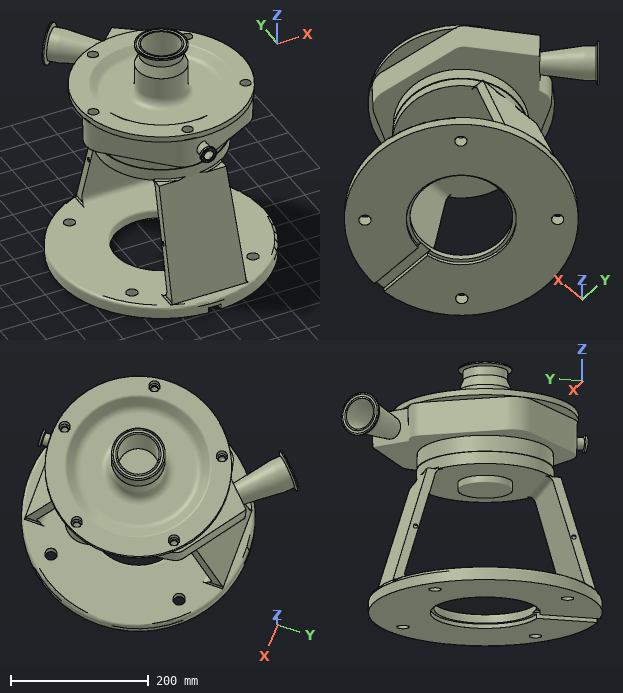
import cadquery as cq
import math

base_thickness = 20.7
boss_bottom = 185.0
ring_bottom = 196.5
ring_step = 215.0
casing_bottom = 239.5
casing_top = 290.0
flange_top = 299.0
inlet_cone_bottom = 334.2
inlet_cone_top = 350.5
inlet_top = 369.0

base_diameter = 340.0
base_radius = base_diameter / 2
base_bore_radius = 74.5
base_recess_radius = 79.5
base_recess_depth = 6.5
base_round = 5.0
base_hole_radius = 8.8
base_hole_circle = 140.0
base_hole_count = 4
base_hole_first_angle = 45.0
notch_width = 19.5
notch_height = 8.8

leg_top_half_width = 55.0
leg_bottom_half_width = 60.5
leg_thickness = 14.5
leg_top_y = 100.0
leg_bottom_y = 153.0
leg_fillet = 11.5
leg_weld = 2.5
leg_hole_radius = 3.0
leg_hole_depth = 16.0
leg_hole_y = 118.5
leg_hole_z = 106.5

ring_lower_radius = 100.0
ring_upper_radius = 98.8
boss_radius = 40.0
boss_round = 1.5

side_angle = 72.0
first_side_angle = 153.0
side_distance = 115.0
casing_round = 34.3
outlet_shoulder_angle = 54.0
outlet_shoulder_distance = 139.5
cutwater_distance = 117.0
outlet_corner_round = 21.0
outlet_angle = 135.0
casing_draft = 1.3
casing_bottom_round = 1.0

flange_radius = 135.5
dish_depth = 15.0
dish_floor_radius = 83.3
dish_rim_radius = 107.0
dish_rim_bend = 5.0
dish_wall_angle = 45.0
bolt_circle = 122.3
bolt_count = 5
bolt_first_angle = 45.0
bolt_radius = 8.0
bolt_depth = 16.0
bolt_core_radius = 5.5
bolt_core_depth = 24.0
drill_tip_angle = 118.0

inlet_rim_radius = 39.0
inlet_neck_radius = 32.5
inlet_bore_radius = 30.3
outlet_rim_radius = 32.0
outlet_neck_radius = 25.5
outlet_root_radius = 16.7
outlet_wall = 2.5
outlet_neck_length = 20.7
outlet_end = 200.5
outlet_offset = 91.0
port_rim_radius = 12.7
port_radius = 9.5
port_bore_radius = 7.5
port_z = 265.7
port_end = 150.5
port_root = 129.0
rim_thickness = 2.5
port_rim_thickness = 3.5
rim_bevel_angle = 20.0
pipe_overlap = 12.0
groove_share = 0.25


def polar(radius, angle):
    """Point at a radius and an angle in degrees."""
    return radius * math.cos(math.radians(angle)), radius * math.sin(math.radians(angle))


def meeting_point(angle_a, distance_a, angle_b, distance_b):
    """Corner of two straight sides, each given by its normal angle and its distance from the axis."""
    ax, ay = polar(1, angle_a)
    bx, by = polar(1, angle_b)
    cross = ax * by - ay * bx
    return (distance_a * by - distance_b * ay) / cross, (distance_b * ax - distance_a * bx) / cross


def revolved(points):
    """Solid of revolution about Z from (radius, height) points."""
    return cq.Workplane("XZ").polyline(points).close().revolve(360, (0, 0, 0), (0, 1, 0))


def cylinder(radius, bottom, top):
    """Upright cylinder on the pump axis between two heights."""
    return cq.Workplane("XY").workplane(offset=bottom).circle(radius).extrude(top - bottom)


def make_base():
    """Round base plate with a bore, mounting holes and a notch under its -Y edge."""
    plate = cylinder(base_radius, 0, base_thickness)
    plate = plate.cut(cylinder(base_bore_radius, 0, base_thickness))
    plate = plate.faces(">Z").edges().fillet(base_round)
    plate = plate.cut(cylinder(base_recess_radius, 0, base_recess_depth))
    holes = (
        cq.Workplane("XY")
        .polarArray(base_hole_circle, base_hole_first_angle, 360, base_hole_count)
        .circle(base_hole_radius)
        .extrude(base_thickness)
    )
    notch = cq.Workplane("XY").box(notch_width, base_radius, notch_height, centered=(True, False, False))
    return plate.cut(holes).cut(notch.translate((0, -base_radius, 0)))


def make_rear_leg():
    """Sloping leg on the +Y side, with rounded inner corners and weld beads."""
    foot_half_width = leg_bottom_half_width + leg_weld
    slope = (leg_bottom_y - leg_top_y) / (ring_bottom - base_thickness)
    lean = math.degrees(math.atan(slope))
    foot_run = leg_fillet / math.tan(math.radians((90 - lean) / 2))
    head_run = leg_fillet / math.tan(math.radians((90 + lean) / 2))
    foot_inner = leg_bottom_y - leg_thickness
    head_inner = leg_top_y - leg_thickness
    run_y, run_z = math.sin(math.radians(lean)), math.cos(math.radians(lean))

    section = (
        cq.Workplane("YZ")
        .moveTo(leg_bottom_y, base_thickness)
        .lineTo(leg_top_y, ring_bottom)
        .lineTo(head_inner - head_run, ring_bottom)
        .radiusArc((head_inner + head_run * run_y, ring_bottom - head_run * run_z), leg_fillet)
        .lineTo(foot_inner - foot_run * run_y, base_thickness + foot_run * run_z)
        .radiusArc((foot_inner - foot_run, base_thickness), leg_fillet)
        .close()
        .extrude(foot_half_width, both=True)
    )
    half_outline = [
        (foot_half_width, base_thickness),
        (leg_bottom_half_width, base_thickness + leg_weld),
        (leg_top_half_width, ring_bottom),
    ]
    outline = half_outline + [(-x, z) for x, z in reversed(half_outline)]
    leg = section.intersect(cq.Workplane("XZ").polyline(outline).close().extrude(-base_radius))
    return leg.union(make_head_weld(slope))


def make_head_weld(slope):
    """Bead on the leg top, around the part of the ring wall that the leg reaches past."""
    top = ring_bottom + leg_weld
    bead = revolved(
        [
            (ring_lower_radius - leg_weld, ring_bottom),
            (ring_lower_radius + leg_weld, ring_bottom),
            (ring_lower_radius, top),
            (ring_lower_radius - leg_weld, top),
        ]
    )
    leg_end = [
        (0, ring_bottom),
        (leg_top_y, ring_bottom),
        (leg_top_y - slope * leg_weld, top),
        (0, top),
    ]
    return bead.intersect(cq.Workplane("YZ").polyline(leg_end).close().extrude(leg_top_half_width, both=True))


def blind_hole(radius, depth):
    """Drilled hole with a conical tip, opening at the origin and running down -Z."""
    tip = radius / math.tan(math.radians(drill_tip_angle / 2))
    return revolved([(0, 0), (radius, 0), (radius, -depth), (0, -depth - tip)])


def make_support():
    """Base plate, two legs, ring and shaft boss."""
    leg = make_rear_leg()
    tapped = blind_hole(leg_hole_radius, leg_hole_depth).rotate((0, 0, 0), (0, 1, 0), -90)
    face_share = (leg_hole_z - base_thickness) / (ring_bottom - base_thickness)
    face_x = leg_bottom_half_width + (leg_top_half_width - leg_bottom_half_width) * face_share
    leg = leg.cut(tapped.translate((-face_x, leg_hole_y, leg_hole_z)))
    ring = cylinder(ring_lower_radius, ring_bottom, ring_step)
    ring = ring.union(cylinder(ring_upper_radius, ring_step, casing_bottom))
    boss = cylinder(boss_radius, boss_bottom, ring_bottom).faces("<Z").edges().fillet(boss_round)
    return make_base().union(leg).union(leg.mirror("XZ")).union(ring).union(boss)


def make_casing():
    """Drafted five-sided casing with a shoulder that carries the outlet."""
    left, front_left, front_right, right = [first_side_angle + side_angle * i for i in range(4)]
    cutwater = first_side_angle - side_angle
    shoulder = (outlet_shoulder_angle, outlet_shoulder_distance)
    main_corners = [
        meeting_point(left, side_distance, front_left, side_distance),
        meeting_point(front_left, side_distance, front_right, side_distance),
        meeting_point(front_right, side_distance, right, side_distance),
    ]
    shoulder_corner = meeting_point(right, side_distance, *shoulder)
    outlet_corner = meeting_point(*shoulder, outlet_angle, side_distance)
    inner_corner = meeting_point(outlet_angle, side_distance, cutwater, cutwater_distance)
    cutwater_corner = meeting_point(cutwater, cutwater_distance, left, side_distance)
    outline = main_corners + [shoulder_corner, outlet_corner, inner_corner, cutwater_corner]
    casing = (
        cq.Workplane("XY")
        .workplane(offset=casing_top)
        .polyline(outline)
        .close()
        .extrude(casing_bottom - casing_top, taper=casing_draft)
    )
    mid_height = (casing_bottom + casing_top) / 2
    rounded = [(corner, casing_round) for corner in main_corners]
    rounded += [(corner, outlet_corner_round) for corner in (shoulder_corner, cutwater_corner)]
    for (x, y), radius in rounded:
        nearest = cq.selectors.NearestToPointSelector((x, y, mid_height))
        casing = casing.edges(nearest).fillet(radius)
    return casing.faces("<Z").edges().fillet(casing_bottom_round)


def make_dish():
    """Cutter for the dish around the inlet foot; its straight wall leans between two bends."""
    wall_turn = math.radians(dish_wall_angle)
    diagonal = math.sqrt(0.5)
    floor = flange_top - dish_depth
    foot_radius = inlet_rim_radius + dish_depth

    def floor_bend(turn):
        radius = dish_floor_radius + dish_depth * math.sin(turn)
        return radius, floor + dish_depth * (1 - math.cos(turn))

    def rim_bend(turn):
        radius = dish_rim_radius - dish_rim_bend * math.sin(turn)
        return radius, flange_top - dish_rim_bend * (1 - math.cos(turn))

    return (
        cq.Workplane("XZ")
        .moveTo(inlet_rim_radius, flange_top)
        .threePointArc(
            (foot_radius - dish_depth * diagonal, flange_top - dish_depth * diagonal),
            (foot_radius, floor),
        )
        .lineTo(dish_floor_radius, floor)
        .threePointArc(floor_bend(wall_turn / 2), floor_bend(wall_turn))
        .lineTo(*rim_bend(wall_turn))
        .threePointArc(rim_bend(wall_turn / 2), (dish_rim_radius, flange_top))
        .close()
        .revolve(360, (0, 0, 0), (0, 1, 0))
    )


def make_bolt_holes():
    """Tapped blind holes around the flange, opening at its top face."""
    hole = cylinder(bolt_radius, -bolt_depth, 0).union(blind_hole(bolt_core_radius, bolt_core_depth))
    places = [polar(bolt_circle, bolt_first_angle + i * 360 / bolt_count) for i in range(bolt_count)]
    holes = cq.Workplane("XY")
    for x, y in places:
        holes = holes.add(hole.translate((x, y, flange_top)))
    return holes.combine()


def with_ferrule(body, rim_radius, neck_radius, rim, end):
    """Outer (radius, height) points of a pipe closed by a bevelled clamp rim at its end."""
    bevel = (rim_radius - neck_radius) * math.tan(math.radians(rim_bevel_angle))
    return body + [
        (neck_radius, end - rim - bevel),
        (rim_radius, end - rim),
        (rim_radius, end),
        (0, end),
    ]


def gasket_groove(rim_radius, bore_radius, end):
    """Shallow round-bottomed ring groove in the middle of a clamp rim's face."""
    groove_radius = (rim_radius - bore_radius) * groove_share
    middle = (rim_radius + bore_radius) / 2
    ring = cq.Workplane("XZ").center(middle, end + groove_radius / 2).circle(groove_radius)
    return ring.revolve(360, (-middle, 0, 0), (-middle, 1, 0))


def make_inlet():
    """Upright stepped inlet pipe and its bore."""
    outer = [
        (0, flange_top - dish_depth),
        (inlet_rim_radius, flange_top - dish_depth),
        (inlet_rim_radius, inlet_cone_bottom),
        (inlet_neck_radius, inlet_cone_top),
    ]
    outer = with_ferrule(outer, inlet_rim_radius, inlet_neck_radius, rim_thickness, inlet_top)
    bore = cylinder(inlet_bore_radius, flange_top - dish_depth, inlet_top)
    bore = bore.union(gasket_groove(inlet_rim_radius, inlet_bore_radius, inlet_top))
    return revolved(outer), bore


def lay_outlet(shape):
    """Turn a solid built along +Z so that it points along the outlet axis."""
    x, y = polar(outlet_offset, outlet_angle - 90)
    turned = shape.rotate((0, 0, 0), (0, 1, 0), 90).rotate((0, 0, 0), (0, 0, 1), outlet_angle)
    return turned.translate((x, y, (casing_bottom + casing_top) / 2))


def make_outlet():
    """Slanted conical outlet pipe and its bore, which stops at the casing shoulder."""
    neck_start = outlet_end - outlet_neck_length
    outer = [
        (0, side_distance - pipe_overlap),
        (outlet_root_radius, side_distance - pipe_overlap),
        (outlet_root_radius, side_distance),
        (outlet_neck_radius, neck_start),
    ]
    bore_radius = outlet_neck_radius - outlet_wall
    bore = [
        (0, side_distance),
        (outlet_root_radius - outlet_wall, side_distance),
        (bore_radius, neck_start),
        (bore_radius, outlet_end),
        (0, outlet_end),
    ]
    outer = with_ferrule(outer, outlet_rim_radius, outlet_neck_radius, rim_thickness, outlet_end)
    groove = gasket_groove(outlet_rim_radius, bore_radius, outlet_end)
    return lay_outlet(revolved(outer)), lay_outlet(revolved(bore).union(groove))


def make_port():
    """Small side port on the -Y corner of the casing and its bore."""
    outer = [(0, port_root - pipe_overlap), (port_radius, port_root - pipe_overlap)]
    outer = with_ferrule(outer, port_rim_radius, port_radius, port_rim_thickness, port_end)
    bore = cylinder(port_bore_radius, port_root, port_end)
    bore = bore.union(gasket_groove(port_rim_radius, port_bore_radius, port_end))
    return [
        shape.rotate((0, 0, 0), (1, 0, 0), 90).translate((0, 0, port_z)) for shape in (revolved(outer), bore)
    ]


flange = cylinder(flange_radius, casing_top, flange_top)
result = make_casing().union(flange).cut(make_dish()).cut(make_bolt_holes()).union(make_support())
for pipe, bore in (make_inlet(), make_outlet(), make_port()):
    result = result.union(pipe).cut(bore)